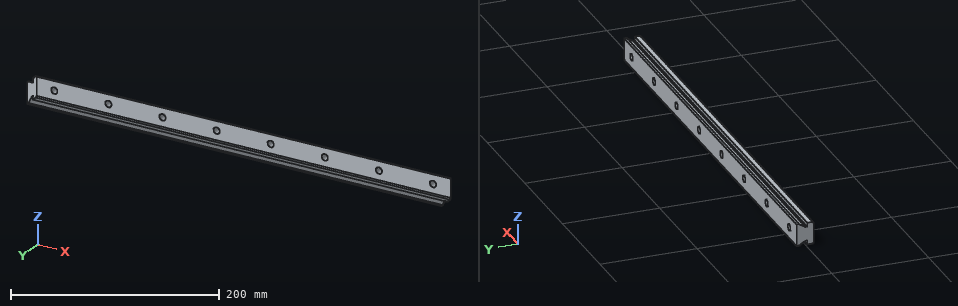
import cadquery as cq

length = 460.0
depth = 18.0
height = 23.0

front_flange = 7.0
back_flange = 2.8
groove_depth = 4.0
groove_floor = 2.0
lip_bevel = 1.0
front_chamfer = 1.5

hole_count = 8
hole_diameter = 7.0
end_margin = 20.0
hole_pitch = (length - 2 * end_margin) / (hole_count - 1)


def make_rail():
    front = -depth / 2
    back = depth / 2
    top = height / 2
    groove_wall = front + front_flange
    groove_bottom = top - groove_depth
    lip = back - back_flange

    upper_edge = [
        (front, top - front_chamfer),
        (front + front_chamfer, top),
        (groove_wall, top),
        (groove_wall, groove_bottom),
        (groove_wall + groove_floor, groove_bottom),
        (lip - lip_bevel, top - lip_bevel),
        (lip, top),
        (back, top),
    ]
    lower_edge = [(y, -z) for y, z in reversed(upper_edge)]
    section = cq.Workplane("YZ").polyline(upper_edge + lower_edge).close()
    return section.extrude(length / 2, both=True)


def make_holes():
    return (
        cq.Workplane("XZ")
        .rarray(hole_pitch, height, hole_count, 1)
        .circle(hole_diameter / 2)
        .extrude(depth, both=True)
    )


result = make_rail().cut(make_holes())